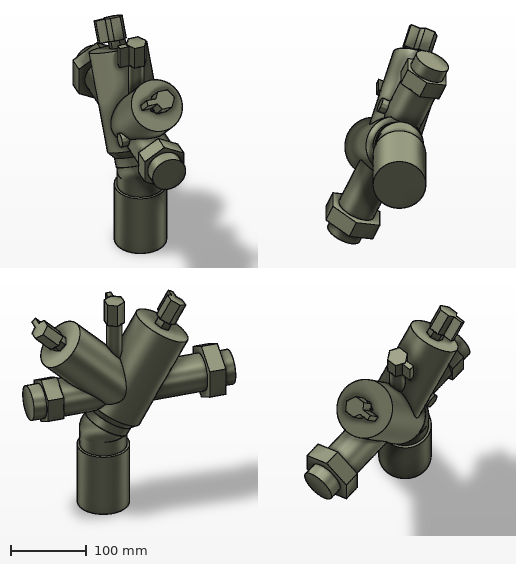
import cadquery as cq
import math

run_length = 282.0
run_diameter = 51.0
tail_diameter = 47.0
nut_inner_x = 101.0
nut_width = 22.5
left_nut_flats = 68.2
right_nut_flats = 55.5

outlet_x = 36.2
elbow_z = -59.5
outlet_diameter = 62.5
elbow_ball_offset = 0.5
neck_end_distance = 8.0
pipe_top_z = -62.5
sleeve_diameter = 69.7
sleeve_top_z = -83.8
sleeve_bottom_z = -172.5

left_lean = 30
left_face_distance = 164.5
left_diameter = 78.0
barrel_base_distance = 29.8
cone_length = 9.2

right_lean = 45
right_start_x = 14.0
right_face_distance = 116.5
right_diameter = 70.0

boss_x = 51.0
boss_z = 5.0
boss_diameter = 18.7

hex_stem_flats = 20.0
hex_stem_length = 10.0
round_stem_x = 21.0
round_stem_diameter = 21.0

tilted_cap_length = 30.7
upright_cap_length = 32.0
cap_flats = 24.0
strap_width = 7.5
strap_reach = 25.0
strap_length = tilted_cap_length
cap_top_z = 134.5
round_stem_top_z = cap_top_z - upright_cap_length


def corner_diameter(flats):
    """Diameter across the corners of a hexagon with this distance across its flats."""
    return flats / math.cos(math.radians(30))


def tilted_plane(x, z, lean, distance):
    """Plane square to an axis that leaves (x, 0, z) leaning from +Z towards +X by lean degrees."""
    along_x = math.sin(math.radians(lean))
    along_z = math.cos(math.radians(lean))
    return cq.Plane(
        origin=(x + distance * along_x, 0, z + distance * along_z),
        xDir=(along_z, 0, -along_x),
        normal=(along_x, 0, along_z),
    )


def left_axis_plane(distance):
    return tilted_plane(outlet_x, elbow_z, -left_lean, distance)


def right_axis_plane(distance):
    return tilted_plane(right_start_x, 0, right_lean, distance)


def cylinder(plane, diameter, length):
    return cq.Workplane(plane).circle(diameter / 2).extrude(length)


def yz_plane(x):
    """Plane square to X whose local x axis points up, so hexagons have corners at top and bottom."""
    return cq.Plane(origin=(x, 0, 0), xDir=(0, 0, 1), normal=(1, 0, 0))


def make_run():
    run = cylinder(yz_plane(-run_length / 2), tail_diameter, run_length)
    run = run.union(cylinder(yz_plane(-nut_inner_x), run_diameter, 2 * nut_inner_x))
    nuts = [
        (-nut_inner_x - nut_width, left_nut_flats),
        (nut_inner_x, right_nut_flats),
    ]
    for start_x, flats in nuts:
        nut = cq.Workplane(yz_plane(start_x)).polygon(6, corner_diameter(flats)).extrude(nut_width)
        run = run.union(nut)
    return run


def make_left_barrel():
    cone_start_distance = barrel_base_distance - cone_length
    barrel_length = left_face_distance - barrel_base_distance
    barrel = cylinder(left_axis_plane(barrel_base_distance), left_diameter, barrel_length)
    cone = (
        cq.Workplane(left_axis_plane(cone_start_distance))
        .circle(outlet_diameter / 2)
        .workplane(offset=cone_length)
        .circle(left_diameter / 2)
        .loft()
    )
    return barrel.union(cone)


def make_right_barrel():
    return cylinder(right_axis_plane(0), right_diameter, right_face_distance)


def make_outlet():
    neck_length = barrel_base_distance - cone_length - neck_end_distance
    neck = cylinder(left_axis_plane(neck_end_distance), outlet_diameter, neck_length)
    ball_centre = cq.Plane(origin=(outlet_x + elbow_ball_offset, 0, elbow_z))
    ball = cq.Workplane(ball_centre).sphere(outlet_diameter / 2)
    bottom = cq.Plane(origin=(outlet_x, 0, sleeve_bottom_z))
    pipe = cylinder(bottom, outlet_diameter, pipe_top_z - sleeve_bottom_z)
    sleeve = cylinder(bottom, sleeve_diameter, sleeve_top_z - sleeve_bottom_z)
    return pipe.union(sleeve).union(ball).union(neck)


def make_boss():
    plane = cq.Plane(origin=(boss_x, 0, boss_z), xDir=(1, 0, 0), normal=(0, -1, 0))
    return cylinder(plane, boss_diameter, right_diameter / 2)


def make_hex_stem(face_plane):
    return cq.Workplane(face_plane).polygon(6, corner_diameter(hex_stem_flats)).extrude(hex_stem_length)


def make_round_stem():
    foot = cq.Plane(origin=(round_stem_x, 0, 0))
    return cylinder(foot, round_stem_diameter, round_stem_top_z)


def make_housing():
    housing = make_run()
    for part in [
        make_left_barrel(),
        make_right_barrel(),
        make_outlet(),
        make_boss(),
        make_hex_stem(left_axis_plane(left_face_distance)),
        make_hex_stem(right_axis_plane(right_face_distance)),
        make_round_stem(),
    ]:
        housing = housing.union(part)
    return housing


def make_cap(base_plane, length):
    head = (
        cq.Workplane(base_plane)
        .transformed(rotate=(0, 0, 90))
        .polygon(6, corner_diameter(cap_flats))
        .extrude(length)
    )
    strap = (
        cq.Workplane(base_plane)
        .center(0, -strap_reach / 2)
        .rect(strap_width, strap_reach)
        .extrude(strap_length)
    )
    return head.union(strap)


cap_places = [
    (left_axis_plane(left_face_distance + hex_stem_length), tilted_cap_length),
    (right_axis_plane(right_face_distance + hex_stem_length), tilted_cap_length),
    (cq.Plane(origin=(round_stem_x, 0, round_stem_top_z)), upright_cap_length),
]

housing = make_housing()
caps = [make_cap(plane, length) for plane, length in cap_places]

result = cq.Compound.makeCompound([housing.val(), *[cap.val() for cap in caps]])